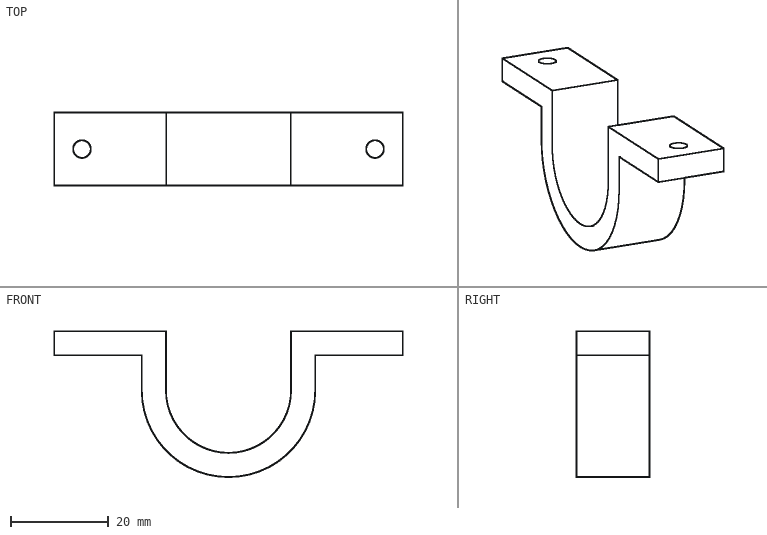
import cadquery as cq

length = 71.4
width = 15.0
height = 29.9
thickness = 5.0
inner_radius = 12.8
hole_spacing = 60.0
hole_diameter = 3.6

outer_radius = inner_radius + thickness
arc_center_z = outer_radius - height
half_length = length / 2

profile = (
    cq.Workplane("XZ")
    .moveTo(-half_length, 0)
    .lineTo(-inner_radius, 0)
    .lineTo(-inner_radius, arc_center_z)
    .threePointArc((0, arc_center_z - inner_radius), (inner_radius, arc_center_z))
    .lineTo(inner_radius, 0)
    .lineTo(half_length, 0)
    .lineTo(half_length, -thickness)
    .lineTo(outer_radius, -thickness)
    .lineTo(outer_radius, arc_center_z)
    .threePointArc((0, -height), (-outer_radius, arc_center_z))
    .lineTo(-outer_radius, -thickness)
    .lineTo(-half_length, -thickness)
    .close()
)
clamp = profile.extrude(width / 2, both=True)

screw_holes = (
    cq.Workplane("XY")
    .pushPoints([(-hole_spacing / 2, 0), (hole_spacing / 2, 0)])
    .circle(hole_diameter / 2)
    .extrude(-thickness)
)

result = clamp.cut(screw_holes)